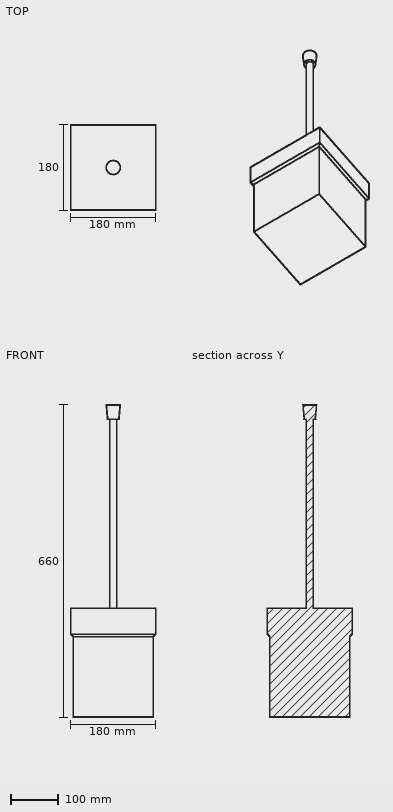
import cadquery as cq

total_height = 660.0
lid_width = 180.0
lid_top = 230.5
lid_band_height = 55.0
lid_overhang = 5.0
rod_diameter = 15.0
knob_height = 30.5
knob_top_diameter = 30.0
knob_bottom_diameter = 24.5

box_width = lid_width - 2 * lid_overhang
band_bottom = lid_top - lid_band_height
box_height = band_bottom - lid_overhang
knob_bottom = total_height - knob_height


def square_box():
    """Square container standing on the base plane."""
    return cq.Workplane("XY").rect(box_width, box_width).extrude(box_height)


def lid():
    """Square lid with a 45 degree bevel running in to the container walls."""
    height = lid_top - box_height
    block = cq.Workplane("XY").workplane(offset=box_height).rect(lid_width, lid_width).extrude(height)
    return block.faces("<Z").chamfer(lid_overhang)


def rod():
    """Slim round rod from the lid up to the knob."""
    length = knob_bottom - lid_top
    return cq.Workplane("XY").workplane(offset=lid_top).circle(rod_diameter / 2).extrude(length)


def knob():
    """Round knob that widens towards its flat top."""
    return (
        cq.Workplane("XY")
        .workplane(offset=knob_bottom)
        .circle(knob_bottom_diameter / 2)
        .workplane(offset=knob_height)
        .circle(knob_top_diameter / 2)
        .loft(ruled=True)
    )


result = square_box().union(lid()).union(rod()).union(knob())